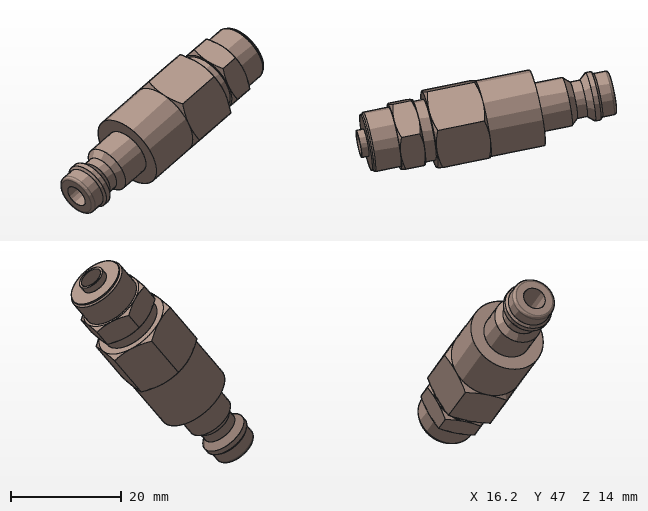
import cadquery as cq
import math

TOTAL_LENGTH = 47.0
BORE_DIAMETER = 4.2

NOSE_DIAMETER = 8.1
NOSE_ROUNDING = 0.5
NOSE_END = 2.7
PLUG_DIAMETER = 9.0
RIM_START = 3.1
RIM_END = 4.1
GROOVE_DIAMETER = 6.75
GROOVE_START = 5.35
GROOVE_END = 7.2
SHANK_START = 8.4

BODY_WIDTH = 14.0
BODY_START = 14.0
BODY_HEX_START = 24.0
BODY_HEX_END = 33.95

COLLAR_DIAMETER = 11.25
NUT_HEX_WIDTH = 12.0
NUT_HEX_START = 35.95
NUT_HEX_END = 40.4
SLEEVE_DIAMETER = 11.0
SLEEVE_CHAMFER_START = 45.1
SLEEVE_END = 45.4
LIP_DIAMETER = 10.4
LIP_END = 45.7

TUBE_DIAMETER = 5.05
HEX_CHAMFER_ANGLE = 30.0


def cylinder(diameter, start, end):
    """Round bar along +Y between two stations."""
    return (
        cq.Workplane("XZ", origin=(0, start, 0))
        .circle(diameter / 2)
        .extrude(start - end)
    )


def chamfered_hexagon(width, start, end):
    """Hexagon with corners on the X axis, its corners turned off conically at both ends."""
    corner_diameter = width / math.cos(math.radians(30))
    bar = (
        cq.Workplane("XZ", origin=(0, start, 0))
        .polygon(6, corner_diameter)
        .extrude(start - end)
    )
    flat_radius = width / 2
    corner_radius = corner_diameter / 2
    chamfer = (corner_radius - flat_radius) * math.tan(math.radians(HEX_CHAMFER_ANGLE))
    turned_envelope = (
        cq.Workplane("XY")
        .moveTo(0, start)
        .lineTo(flat_radius, start)
        .lineTo(corner_radius, start + chamfer)
        .lineTo(corner_radius, end - chamfer)
        .lineTo(flat_radius, end)
        .lineTo(0, end)
        .close()
        .revolve(360, (0, 0, 0), (0, 1, 0))
    )
    return bar.intersect(turned_envelope)


def plug():
    """Turned plug: rounded nose, rim, tapered locking groove and shank."""
    nose_radius = NOSE_DIAMETER / 2
    plug_radius = PLUG_DIAMETER / 2
    groove_radius = GROOVE_DIAMETER / 2
    return (
        cq.Workplane("XY")
        .lineTo(nose_radius - NOSE_ROUNDING, 0)
        .radiusArc((nose_radius, NOSE_ROUNDING), -NOSE_ROUNDING)
        .lineTo(nose_radius, NOSE_END)
        .lineTo(plug_radius, RIM_START)
        .lineTo(plug_radius, RIM_END)
        .lineTo(groove_radius, GROOVE_START)
        .lineTo(groove_radius, GROOVE_END)
        .lineTo(plug_radius, SHANK_START)
        .lineTo(plug_radius, BODY_START)
        .lineTo(0, BODY_START)
        .close()
        .revolve(360, (0, 0, 0), (0, 1, 0))
    )


def sleeve():
    """Clamping sleeve, tapering at its end down to the lip."""
    sleeve_radius = SLEEVE_DIAMETER / 2
    return (
        cq.Workplane("XY")
        .moveTo(0, NUT_HEX_END)
        .lineTo(sleeve_radius, NUT_HEX_END)
        .lineTo(sleeve_radius, SLEEVE_CHAMFER_START)
        .lineTo(LIP_DIAMETER / 2, SLEEVE_END)
        .lineTo(0, SLEEVE_END)
        .close()
        .revolve(360, (0, 0, 0), (0, 1, 0))
    )


body = cylinder(BODY_WIDTH, BODY_START, BODY_HEX_START).union(
    chamfered_hexagon(BODY_WIDTH, BODY_HEX_START, BODY_HEX_END)
)

nut = (
    cylinder(COLLAR_DIAMETER, BODY_HEX_END, NUT_HEX_START)
    .union(chamfered_hexagon(NUT_HEX_WIDTH, NUT_HEX_START, NUT_HEX_END))
    .union(sleeve())
    .union(cylinder(LIP_DIAMETER, SLEEVE_END, LIP_END))
)

tube = cylinder(TUBE_DIAMETER, LIP_END, TOTAL_LENGTH)
bore = cylinder(BORE_DIAMETER, 0, TOTAL_LENGTH)

result = plug().union(body).union(nut).union(tube).cut(bore)